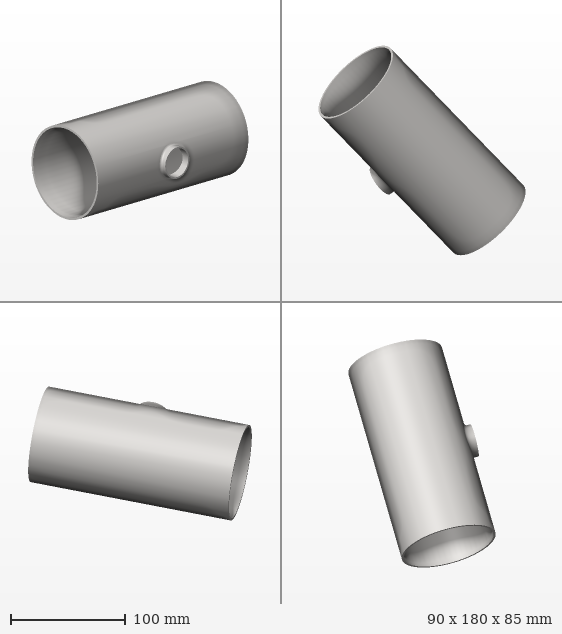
import cadquery as cq

tube_length = 180
tube_outer_diameter = 85.0
tube_bore = 81

overall_width = 90
branch_outer_diameter = 29.0
branch_bore = 26.0
branch_end = overall_width - tube_outer_diameter / 2
collar_radius = 2.0


def tube_cylinder(diameter):
    """Cylinder along Y, centred on the origin."""
    return cq.Workplane("XZ").circle(diameter / 2).extrude(tube_length / 2, both=True)


def branch_cylinder(diameter):
    """Cylinder from the tube axis to the open end of the branch."""
    return cq.Workplane("YZ").circle(diameter / 2).extrude(branch_end)


def junction_edges(body):
    """Edge where the outside of the branch meets the outside of the tube."""
    margin = 0.2
    half_width = branch_outer_diameter / 2 + margin
    box = cq.selectors.BoxSelector(
        (0, -half_width, -half_width),
        (branch_end - margin, half_width, half_width),
        boundingbox=True,
    )
    return body.edges(box)


outside = tube_cylinder(tube_outer_diameter).union(branch_cylinder(branch_outer_diameter))
outside = junction_edges(outside).fillet(collar_radius)

result = outside.cut(tube_cylinder(tube_bore)).cut(branch_cylinder(branch_bore))